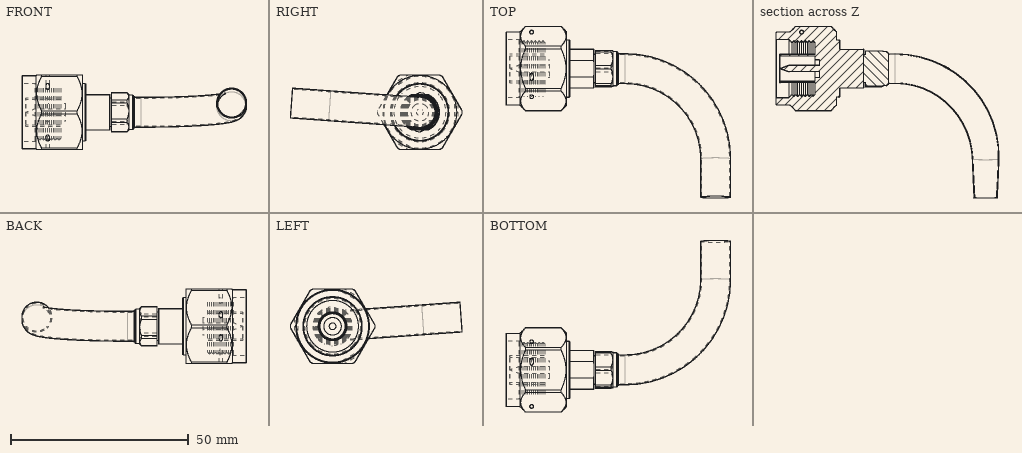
import cadquery as cq
import math

TOTAL_LENGTH = 63.25
HEX_HALF_ANGLE = 30

NUT_FLAT_RADIUS = 10.5
NUT_CORNER_RADIUS = 11.9
NUT_HEX_START = 4.05
NUT_HEX_END = 17.1
NUT_HEX_CHAMFER = 1.5
RIM_RADIUS = 10.3
RING_RADIUS = 8.1
RING_END = 18.0
SMALL_CHAMFER = 0.2

SOCKET_RADIUS = 8.15
SOCKET_DEPTH = 3.7
THREAD_MINOR_RADIUS = 7.3
THREAD_GROOVE_DEPTH = 0.6
THREAD_PITCH = 1.1
THREAD_TURNS = 6
THREAD_START = SOCKET_DEPTH + SOCKET_RADIUS - THREAD_MINOR_RADIUS
SOCKET_FLOOR = THREAD_START + THREAD_TURNS * THREAD_PITCH

WIRE_HOLE_RADIUS = 0.5
WIRE_HOLE_X = 7.3
WIRE_HOLE_OFFSET = 10.25
WIRE_HOLE_COUNT = 3

SLEEVE_OUTER_RADIUS = 4.05
SLEEVE_INNER_RADIUS = 3.55
SLEEVE_TIP = 1.1
SLEEVE_CHAMFER = 0.1
RECESS_RADIUS = 2.45
RECESS_DEPTH = 1.25
PIN_RADIUS = 0.95
PIN_TIP = 1.15
PIN_CONE_LENGTH = 2.5

BODY_RADIUS = 5.5
BODY_FLAT_HEIGHT = 5.0
BODY_END = 24.8

NECK_RADIUS = 4.05
CLAMP_HEX_START = 25.2
CLAMP_HEX_END = 30.1
CLAMP_FLAT_RADIUS = 5.0
CLAMP_CORNER_RADIUS = 5.5
CLAMP_HEX_CHAMFER = 0.5
COLLAR_RADIUS = 4.9
COLLAR_END = 31.4
LIP_RADIUS = 4.4
LIP_END = 31.75

TUBE_RADIUS = 4.25
TUBE_WALL = 0.3
BEND_RADIUS = 25.4
BEND_START = TOTAL_LENGTH - TUBE_RADIUS - BEND_RADIUS
TUBE_TAIL = 10.8
TILT = 4.1


def turned(profile):
    """Solid of revolution about X from (x, radius) points."""
    return cq.Workplane("XY").polyline(profile).close().revolve(360, (0, 0, 0), (1, 0, 0))


def rod(start, end, radius):
    return cq.Workplane("YZ").workplane(offset=start).circle(radius).extrude(end - start)


def hex_bar(start, end, flat_radius):
    """Hexagonal bar along X with corners on the Y axis."""
    corner_diameter = 2 * flat_radius / math.cos(math.radians(HEX_HALF_ANGLE))
    return cq.Workplane("YZ").workplane(offset=start).polygon(6, corner_diameter).extrude(end - start)


def nut_shell():
    blank = turned([
        (NUT_HEX_START, 0),
        (NUT_HEX_START, NUT_CORNER_RADIUS - NUT_HEX_CHAMFER),
        (NUT_HEX_START + NUT_HEX_CHAMFER, NUT_CORNER_RADIUS),
        (NUT_HEX_END - NUT_HEX_CHAMFER, NUT_CORNER_RADIUS),
        (NUT_HEX_END, NUT_CORNER_RADIUS - NUT_HEX_CHAMFER),
        (NUT_HEX_END, 0),
    ])
    hexagon = hex_bar(NUT_HEX_START, NUT_HEX_END, NUT_FLAT_RADIUS).intersect(blank)
    rim = rod(0, NUT_HEX_START, RIM_RADIUS).faces("<X").chamfer(SMALL_CHAMFER)
    ring = rod(NUT_HEX_END, RING_END, RING_RADIUS).faces(">X").chamfer(SMALL_CHAMFER)
    return hexagon.union(rim).union(ring)


def threaded_socket():
    """Cavity of the nut: smooth bore, lead-in cone, then V grooves."""
    profile = [
        (0, 0),
        (0, SOCKET_RADIUS + SMALL_CHAMFER),
        (SMALL_CHAMFER, SOCKET_RADIUS),
        (SOCKET_DEPTH, SOCKET_RADIUS),
        (THREAD_START, THREAD_MINOR_RADIUS),
    ]
    for turn in range(THREAD_TURNS):
        groove_x = THREAD_START + turn * THREAD_PITCH
        profile.append((groove_x + THREAD_PITCH / 2, THREAD_MINOR_RADIUS + THREAD_GROOVE_DEPTH))
        profile.append((groove_x + THREAD_PITCH, THREAD_MINOR_RADIUS))
    profile.append((SOCKET_FLOOR, 0))
    return turned(profile)


def wire_holes():
    holes = cq.Workplane("XY")
    for i in range(WIRE_HOLE_COUNT):
        hole = (
            cq.Workplane("XY")
            .center(WIRE_HOLE_X, WIRE_HOLE_OFFSET)
            .circle(WIRE_HOLE_RADIUS)
            .extrude(NUT_FLAT_RADIUS / 2, both=True)
            .rotate((0, 0, 0), (1, 0, 0), i * 360 / WIRE_HOLE_COUNT)
        )
        holes = holes.add(hole)
    return holes.combine()


def contact_sleeve():
    tube = rod(SLEEVE_TIP, SOCKET_FLOOR, SLEEVE_OUTER_RADIUS).cut(
        rod(SLEEVE_TIP, SOCKET_FLOOR, SLEEVE_INNER_RADIUS)
    )
    return tube.faces("<X").chamfer(SLEEVE_CHAMFER)


def centre_pin():
    root = SOCKET_FLOOR + RECESS_DEPTH
    return turned([(PIN_TIP, 0), (PIN_TIP + PIN_CONE_LENGTH, PIN_RADIUS), (root, PIN_RADIUS), (root, 0)])


def connector_body():
    barrel = rod(RING_END, BODY_END, BODY_RADIUS).faces(">X").chamfer(SMALL_CHAMFER)
    slab = cq.Workplane("XY").box(2 * BODY_END, 2 * BODY_RADIUS, 2 * BODY_FLAT_HEIGHT)
    return barrel.intersect(slab)


def cable_clamp():
    blank = rod(CLAMP_HEX_START, CLAMP_HEX_END, CLAMP_CORNER_RADIUS).faces(">X").chamfer(CLAMP_HEX_CHAMFER)
    hexagon = (
        hex_bar(CLAMP_HEX_START, CLAMP_HEX_END, CLAMP_FLAT_RADIUS)
        .rotate((0, 0, 0), (1, 0, 0), HEX_HALF_ANGLE)
        .intersect(blank)
    )
    neck = rod(BODY_END, CLAMP_HEX_START, NECK_RADIUS)
    collar = rod(CLAMP_HEX_END, COLLAR_END, COLLAR_RADIUS).faces(">X").chamfer(SMALL_CHAMFER)
    lip = rod(COLLAR_END, LIP_END, LIP_RADIUS)
    return neck.union(hexagon).union(collar).union(lip).rotate((0, 0, 0), (1, 0, 0), -TILT)


def cable_tube():
    """Hollow tube with a quarter-turn bend and a straight tail."""
    bend_end = (BEND_START + BEND_RADIUS, -BEND_RADIUS)
    mid_reach = BEND_RADIUS / math.sqrt(2)
    bend_middle = (BEND_START + mid_reach, mid_reach - BEND_RADIUS)
    path = (
        cq.Workplane("XY")
        .moveTo(LIP_END, 0)
        .lineTo(BEND_START, 0)
        .threePointArc(bend_middle, bend_end)
        .lineTo(bend_end[0], bend_end[1] - TUBE_TAIL)
    )
    tube = (
        cq.Workplane("YZ")
        .workplane(offset=LIP_END)
        .circle(TUBE_RADIUS)
        .circle(TUBE_RADIUS - TUBE_WALL)
        .sweep(path)
    )
    return tube.rotate((0, 0, 0), (1, 0, 0), -TILT)


recess = rod(SOCKET_FLOOR, SOCKET_FLOOR + RECESS_DEPTH, RECESS_RADIUS)
connector = (
    nut_shell()
    .cut(threaded_socket())
    .cut(recess)
    .cut(wire_holes())
    .union(contact_sleeve())
    .union(centre_pin())
    .union(connector_body())
)

cable = cable_clamp().union(cable_tube())

result = cq.Compound.makeCompound([connector.val(), cable.val()])